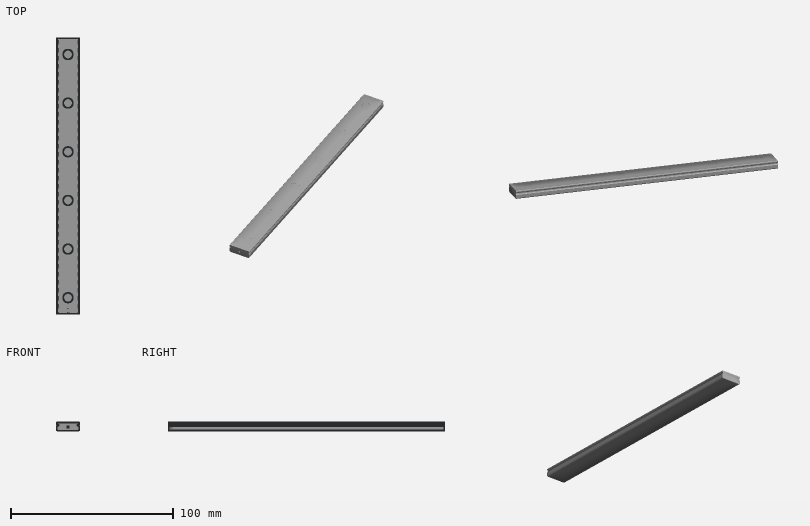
import cadquery as cq

length = 170.0
width = 14.0
height = 5.3
top_chamfer = 0.25
bottom_chamfer = 0.5

groove_opening = 1.7
groove_depth = 0.3
groove_center_z = 3.5
relief_height = 0.3
relief_depth = 1.0

cap_count = 6
cap_end_margin = 10.0
cap_pitch = (length - 2 * cap_end_margin) / (cap_count - 1)
cap_diameter = 6.0
cap_recess = 0.08

end_hole_diameter = 1.2
end_hole_depth = 3.4
end_hole_z = 2.4


def rail_body():
    bar = cq.Workplane("XY").box(width, length, height, centered=(True, True, False))
    bar = bar.faces(">Z").edges("|Y").chamfer(top_chamfer)
    return bar.faces("<Z").edges("|Y").chamfer(bottom_chamfer)


def side_groove(side):
    """Cutter for the groove and relief slot on the -X (side = -1) or +X (side = 1) face."""
    face_x = side * width / 2
    groove = (
        cq.Workplane("XZ")
        .moveTo(face_x, groove_center_z - groove_opening / 2)
        .threePointArc(
            (face_x - side * groove_depth, groove_center_z),
            (face_x, groove_center_z + groove_opening / 2),
        )
        .close()
        .extrude(length / 2, both=True)
    )
    relief = (
        cq.Workplane("XZ")
        .center(face_x, groove_center_z)
        .rect(2 * relief_depth, relief_height)
        .extrude(length / 2, both=True)
    )
    return groove.union(relief)


def cap_recesses():
    return (
        cq.Workplane("XY", origin=(0, 0, height))
        .rarray(1.7, cap_pitch, 1, cap_count)
        .circle(cap_diameter / 2)
        .extrude(-cap_recess)
    )


def end_hole():
    return (
        cq.Workplane("XZ", origin=(0, -length / 2, end_hole_z))
        .circle(end_hole_diameter / 2)
        .extrude(-end_hole_depth)
    )


result = rail_body()
for side in (-1, 1):
    result = result.cut(side_groove(side))
result = result.cut(cap_recesses()).cut(end_hole())